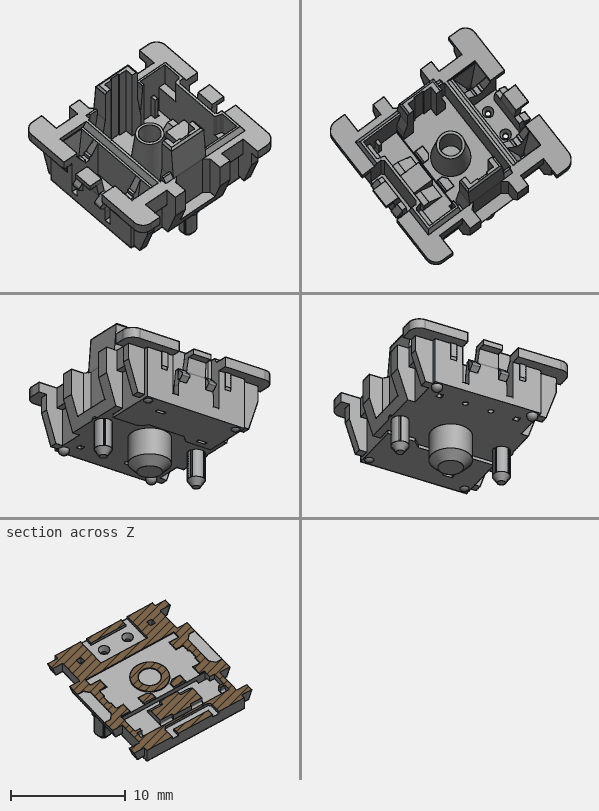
import cadquery as cq


GUIDE_TOP = 3.6
RIM_TOP = 0.5
PLATE_BOTTOM = -0.97
SHELF_Z = -1.97
TAPER_START = -2.5
SLOT_FLOOR = -4.68
BODY_BOTTOM = -5.48
SLAB_BOTTOM = -5.8
PIN_TIP = -8.8
FRONT_FLOOR = -4.5
REAR_FLOOR = -4.99
CHANNEL_FLOOR = -2.5
ABOVE = GUIDE_TOP + 0.78
BELOW = PIN_TIP - 0.78

PLATE_HALF = 7.8
CORNER_R = 1.05
NOTCH_X = 5.88
CORNER_RIB_Y = 5.7
CORNER_RIB_END_Y = 6.46
MID_RIB_Y = 3.2
RECESS_Y = 2.01
RECESS_WALL_Y = 1.51
RECESS_BEVEL = 0.44
CORE_X = 5.25
CORE_Y = 6.85
RIB_X = 6.99
RIB_FOOT_X = 5.99
RECESS_FLOOR = -4.45
SLAB_FRONT_Y = 1.8
SLAB_RELIEF_X = 2.57
SLAB_RELIEF_DEPTH = 0.7

CAVITY_X = 4.75
CAVITY_FRONT_Y = -2.96
CAVITY_REAR_Y = 5.96
BACK_WALL_Y = 5.25
RIM_FRONT_Y = -2.78
RIM_REAR_Y = 6.46
RIM_SLOPE_X = 0.33
RIM_SLOPE_Y = 0.27

SLOT_X = 2.5
REAR_SLOT_Y = 5.52
SLOT_BEVEL = 0.22

POCKET_REAR_Y = -3.21
BAR_SLOPE = 0.37
POCKET_FRONT_Y = -6.25
POCKET_WALL_Y = -3.8
POCKET_SHELF_Z = -0.5
VEE_Z = -1.62
VEE_HALF = 0.48
FUNNEL_INNER_X = 3.09
FUNNEL_OUTER_X = 4.66
FUNNEL_Z = -4.37
WIRE_GROOVE_Z = -2.0
WIRE_HOLE = 0.5
WIRE_Y = -5.05
WIRE_X = 3.8
LED_X = 1.26
LED_HOLE_D = 0.5
LED_SINK_D = 1.0
LED_SINK_DEPTH = 0.5

GUIDE_X = 3.73
GUIDE_TOP_X = 4.99
GUIDE_Y = 1.89
GUIDE_FOOT_Y = 2.28
GUIDE_CHAMFER = 0.2
GUIDE_BACK_X = 4.51
GUIDE_GAP_Y = 1.25
KEYWAY_X = 4.63
KEYWAY_Y = 0.48

BOSS_D = 3.8
BOSS_CHAMFER = 0.78
POST_FOOT_D = 3.51
POST_TOP_D = 2.5
BORE_D = 2.0
PIN_X = 5.02
PIN_D = 1.59
PIN_TIP_D = 0.7
PIN_CONE = 0.67
BUMP_R = 0.5
FOOT_X = 4.73
FOOT_Y = 6.24
FOOT_Z = -5.52
ROOT_BUMP_X = 5.62

CHANNEL_Y = 2.9
CHANNEL_FOOT_Y = 2.7
RETURN_Y = 3.09
RETURN_X = 4.23
SLIT_W = 0.35
FLOOR_STEP_Y = CHANNEL_FOOT_Y - SLIT_W
REAR_SLIT_Y = BACK_WALL_Y - SLIT_W
SLIT_L = 0.9
REAR_SLIT_X = 2.06
FOOT_FILLET = 0.2


def box(x0, x1, y0, y1, z0, z1):
    return cq.Workplane("XY").box(x1 - x0, y1 - y0, z1 - z0, centered=False).translate((x0, y0, z0))


def along_x(points, x0, x1):
    """Prism of a (y, z) outline between two X positions."""
    return cq.Workplane("YZ").polyline(points).close().extrude(x1 - x0).translate((x0, 0, 0))


def along_y(points, y0, y1):
    """Prism of an (x, z) outline between two Y positions."""
    return cq.Workplane("XZ").polyline(points).close().extrude(y0 - y1).translate((0, y0, 0))


def along_z(points, z0, z1):
    """Prism of an (x, y) outline between two heights."""
    return cq.Workplane("XY", origin=(0, 0, z0)).polyline(points).close().extrude(z1 - z0)


def both_x(shape):
    return shape.union(shape.mirror("YZ"))


def both_y(shape):
    return shape.union(shape.mirror("XZ"))


def turned(profile, x=0, y=0):
    """Solid turned from (radius, z) points about a vertical axis."""
    return cq.Workplane("XZ").polyline(profile).close().revolve(360, (0, 0), (0, 1)).translate((x, y, 0))


def tapered_ribs(y0, y1):
    outline = [
        (0, 0), (RIB_X, 0), (RIB_X, TAPER_START),
        (RIB_FOOT_X, BODY_BOTTOM), (0, BODY_BOTTOM),
    ]
    return both_x(along_y(outline, y0, y1))


def outer_body():
    plate = box(-PLATE_HALF, PLATE_HALF, -PLATE_HALF, PLATE_HALF, PLATE_BOTTOM, 0)
    plate = plate.edges("|Z").fillet(CORNER_R)
    waist = box(CORE_X, PLATE_HALF + 0.15, -CORNER_RIB_Y, CORNER_RIB_Y, PLATE_BOTTOM, 0)
    plate = plate.cut(both_x(waist))
    body = plate.union(box(-CORE_X, CORE_X, -CORE_Y, CORE_Y, BODY_BOTTOM, 0))
    body = body.union(both_y(box(-NOTCH_X, NOTCH_X, MID_RIB_Y, CORNER_RIB_Y, SHELF_Z, 0)))
    body = body.union(both_y(tapered_ribs(CORNER_RIB_Y, CORNER_RIB_END_Y)))
    body = body.union(tapered_ribs(-MID_RIB_Y, MID_RIB_Y))
    recess = [
        (CORE_X, -RECESS_WALL_Y), (CORE_X + RECESS_BEVEL, -RECESS_Y), (RIB_X + 0.15, -RECESS_Y),
        (RIB_X + 0.15, RECESS_Y), (CORE_X + RECESS_BEVEL, RECESS_Y), (CORE_X, RECESS_WALL_Y),
    ]
    body = body.cut(both_x(along_z(recess, RECESS_FLOOR, 0.15)))
    relief_x = SLAB_RELIEF_X - SLAB_RELIEF_DEPTH
    relief_y = SLAB_FRONT_Y + SLAB_RELIEF_DEPTH
    slab = [
        (-CORE_X, SLAB_FRONT_Y), (-SLAB_RELIEF_X, SLAB_FRONT_Y), (-relief_x, relief_y),
        (relief_x, relief_y), (SLAB_RELIEF_X, SLAB_FRONT_Y), (CORE_X, SLAB_FRONT_Y),
        (CORE_X, CORE_Y), (-CORE_X, CORE_Y),
    ]
    return body.union(along_z(slab, SLAB_BOTTOM, BODY_BOTTOM))


def rim():
    """Raised rim with its outer sides and rear leaning inward."""
    top_x = CORE_X - RIM_SLOPE_X
    across = [(-CORE_X, 0), (CORE_X, 0), (top_x, RIM_TOP), (-top_x, RIM_TOP)]
    lengthwise = [
        (RIM_FRONT_Y, 0), (RIM_REAR_Y, 0), (RIM_REAR_Y - RIM_SLOPE_Y, RIM_TOP), (RIM_FRONT_Y, RIM_TOP),
    ]
    return along_y(across, RIM_FRONT_Y, RIM_REAR_Y).intersect(along_x(lengthwise, -CORE_X, CORE_X))


def cavity():
    front = box(-CAVITY_X, CAVITY_X, CAVITY_FRONT_Y, FLOOR_STEP_Y, FRONT_FLOOR, ABOVE)
    rear = box(-CAVITY_X, CAVITY_X, FLOOR_STEP_Y, BACK_WALL_Y, REAR_FLOOR, ABOVE)
    bulge_tip, bulge_round, bulge_side = (2.51, BACK_WALL_Y), (2.6, 5.29), (2.65, 5.38)
    root_side, root_round, root_end = (2.78, 5.85), (2.82, 5.93), (2.92, CAVITY_REAR_Y)
    corner = (
        cq.Workplane("XY", origin=(0, 0, SHELF_Z))
        .moveTo(CAVITY_X, BACK_WALL_Y)
        .lineTo(*bulge_tip)
        .threePointArc(bulge_round, bulge_side)
        .lineTo(*root_side)
        .threePointArc(root_round, root_end)
        .lineTo(CAVITY_X, CAVITY_REAR_Y)
        .close()
        .extrude(ABOVE - SHELF_Z)
    )
    return front.union(rear).union(both_x(corner))


def snap_slots():
    far = PLATE_HALF + 0.15
    rear = [
        (-SLOT_X, far), (-SLOT_X, REAR_SLOT_Y + SLOT_BEVEL), (-SLOT_X + SLOT_BEVEL, REAR_SLOT_Y),
        (SLOT_X - SLOT_BEVEL, REAR_SLOT_Y), (SLOT_X, REAR_SLOT_Y + SLOT_BEVEL), (SLOT_X, far),
    ]
    front = box(-SLOT_X, SLOT_X, -far, POCKET_WALL_Y, SLOT_FLOOR, 0.15)
    return along_z(rear, SLOT_FLOOR, ABOVE).union(front)


def snap_tongue():
    """Springy tongue with a top tab in the middle and a latch bump on each side."""
    tab_x, tab_foot_x = 0.94, 1.01
    tongue_x, tongue_foot_x = 1.73, 1.87
    bump_inner_x, bump_outer_x = 1.03, 1.83
    tab_top, tab_bottom = -0.25, -0.76
    tab_root_z, tongue_top, spread_z = -2.17, -1.97, -3.59
    back_top_y, back_mid_y, back_foot_y, tab_root_y = 6.46, 6.21, 6.15, 7.04
    side = [
        (PLATE_HALF, tab_top), (back_top_y, tab_top), (back_mid_y, tongue_top), (back_foot_y, SLOT_FLOOR),
        (CORE_Y, SLOT_FLOOR), (CORE_Y, tab_root_z), (tab_root_y, tab_bottom), (PLATE_HALF, tab_bottom),
    ]
    half_face = [
        (0, tab_top), (tab_x, tab_top), (tab_x, tab_bottom), (tab_foot_x, tongue_top),
        (tongue_x, tongue_top), (tongue_foot_x, spread_z), (tongue_foot_x, SLOT_FLOOR), (0, SLOT_FLOOR),
    ]
    face = both_x(along_y(half_face, 0, PLATE_HALF))
    tongue = along_x(side, -SLOT_X, SLOT_X).intersect(face)
    slope_y, bump_shoulder_y, bump_reach_y = 6.66, 7.3, 7.36
    upper_z, lower_z, bump_foot_z = -2.62, -2.87, -3.26
    above_slope = [
        (slope_y, tongue_top), (bump_shoulder_y, upper_z), (PLATE_HALF, upper_z),
        (PLATE_HALF, 0), (slope_y, 0),
    ]
    tongue = tongue.cut(both_x(along_x(above_slope, tab_foot_x, SLOT_X)))
    bump = (
        cq.Workplane("YZ", origin=(bump_inner_x, 0, 0))
        .moveTo(slope_y, tongue_top)
        .lineTo(bump_shoulder_y, upper_z)
        .threePointArc((bump_reach_y, (upper_z + lower_z) / 2), (bump_shoulder_y, lower_z))
        .lineTo(CORE_Y, bump_foot_z)
        .lineTo(slope_y, bump_foot_z)
        .close()
        .extrude(bump_outer_x - bump_inner_x)
    )
    return tongue.union(both_x(bump))


def wall_ribs():
    """Two low ribs on the end wall, bevelled at their lower ends."""
    face_y = CORE_Y
    inner_x, outer_x = 3.12, 3.73
    lower_end, bevel, proud = -2.62, 0.27, 0.11
    outline = [
        (face_y - 0.15, PLATE_BOTTOM), (face_y + proud, PLATE_BOTTOM),
        (face_y + proud, lower_end + bevel), (face_y, lower_end), (face_y - 0.15, lower_end),
    ]
    return both_x(along_x(outline, inner_x, outer_x))


def front_pocket():
    """Pocket with two funnels for wires, two lamp holes and a V-shaped dip beside each funnel."""
    slope_y = POCKET_REAR_Y - BAR_SLOPE
    opening = [
        (POCKET_REAR_Y, 0.15), (POCKET_REAR_Y, 0), (slope_y, POCKET_SHELF_Z),
        (POCKET_FRONT_Y, POCKET_SHELF_Z), (POCKET_FRONT_Y, 0.15),
    ]
    pocket = along_x(opening, -CAVITY_X, CAVITY_X)
    vee = [
        (POCKET_WALL_Y, POCKET_SHELF_Z), (WIRE_Y + VEE_HALF, VEE_Z),
        (WIRE_Y - VEE_HALF, VEE_Z), (POCKET_FRONT_Y, POCKET_SHELF_Z),
    ]
    half = WIRE_HOLE / 2
    dip = along_x(vee, SLOT_X - 0.15, WIRE_X - half)
    dip = dip.union(box(SLOT_X - 0.15, WIRE_X, WIRE_Y - half, WIRE_Y + half, WIRE_GROOVE_Z, VEE_Z))
    mid_x = (FUNNEL_INNER_X + FUNNEL_OUTER_X) / 2
    mid_y = (POCKET_WALL_Y + POCKET_FRONT_Y) / 2
    funnel = (
        cq.Workplane("XY", origin=(mid_x, mid_y, POCKET_SHELF_Z))
        .rect(FUNNEL_OUTER_X - FUNNEL_INNER_X, POCKET_WALL_Y - POCKET_FRONT_Y)
        .workplane(offset=FUNNEL_Z - POCKET_SHELF_Z)
        .center(WIRE_X - mid_x, WIRE_Y - mid_y)
        .rect(WIRE_HOLE, WIRE_HOLE)
        .loft(ruled=True)
    )
    wire_hole = box(WIRE_X - half, WIRE_X + half, WIRE_Y - half, WIRE_Y + half, BELOW, FUNNEL_Z)
    sink_r, hole_r = LED_SINK_D / 2, LED_HOLE_D / 2
    sink_bottom = SLOT_FLOOR - LED_SINK_DEPTH
    led_profile = [
        (0, SLOT_FLOOR), (sink_r, SLOT_FLOOR), (hole_r, sink_bottom), (hole_r, BELOW), (0, BELOW),
    ]
    led_hole = turned(led_profile, LED_X, WIRE_Y)
    return pocket.union(both_x(dip.union(funnel).union(wire_hole).union(led_hole)))


def contact_channel():
    """Gap through the left rim and wall, narrowing toward its floor."""
    outline = [
        (CHANNEL_Y, ABOVE), (CHANNEL_Y, 0), (CHANNEL_FOOT_Y, CHANNEL_FLOOR),
        (GUIDE_Y, CHANNEL_FLOOR), (GUIDE_Y, ABOVE),
    ]
    return along_x(outline, -CORE_X, -CAVITY_X)


def channel_return():
    """Short wall turning inward from the rim, with the ledge that carries the contact."""
    outline = [
        (RETURN_Y, RIM_TOP), (CHANNEL_Y, RIM_TOP), (CHANNEL_Y, 0), (CHANNEL_FOOT_Y, CHANNEL_FLOOR),
        (GUIDE_Y, CHANNEL_FLOOR), (GUIDE_Y, REAR_FLOOR), (RETURN_Y, REAR_FLOOR),
    ]
    return along_x(outline, -CAVITY_X, -RETURN_X)


def contact_slits():
    """Two slits through the rear floor for the contact legs."""
    left = box(-RETURN_X, -RETURN_X + SLIT_L, FLOOR_STEP_Y, CHANNEL_FOOT_Y, BELOW, REAR_FLOOR)
    return left.union(box(REAR_SLIT_X, REAR_SLIT_X + SLIT_L, REAR_SLIT_Y, BACK_WALL_Y, BELOW, REAR_FLOOR))


def guide():
    """C-shaped upright with flared foot, open toward the middle."""
    shoulder = GUIDE_TOP - GUIDE_CHAMFER
    foot = FRONT_FLOOR - 0.15
    across = [
        (GUIDE_X, foot), (CORE_X, foot), (CORE_X, 0), (GUIDE_TOP_X, shoulder),
        (GUIDE_TOP_X - GUIDE_CHAMFER, GUIDE_TOP), (GUIDE_X, GUIDE_TOP),
    ]
    top_y = GUIDE_Y - GUIDE_CHAMFER
    lengthwise = [
        (-GUIDE_FOOT_Y, foot), (GUIDE_FOOT_Y, foot), (GUIDE_FOOT_Y, CHANNEL_FLOOR),
        (GUIDE_Y, 0), (GUIDE_Y, shoulder),
        (top_y, GUIDE_TOP), (-top_y, GUIDE_TOP), (-GUIDE_Y, shoulder), (-GUIDE_Y, 0),
        (-GUIDE_FOOT_Y, CHANNEL_FLOOR),
    ]
    block = along_y(across, -GUIDE_FOOT_Y, GUIDE_FOOT_Y).intersect(along_x(lengthwise, GUIDE_X, CORE_X))
    block = block.cut(box(0, GUIDE_BACK_X, -GUIDE_GAP_Y, GUIDE_GAP_Y, FRONT_FLOOR, ABOVE))
    return block.cut(box(0, KEYWAY_X, -KEYWAY_Y, KEYWAY_Y, FRONT_FLOOR, ABOVE))


def block_with_rounded_foot(front_y, crest_y, rear_y, top_z, x0, x1):
    """Block on the rear floor: its front rises to the crest, its rear wall flows into the floor."""
    return (
        cq.Workplane("YZ", origin=(x0, 0, 0))
        .moveTo(front_y, REAR_FLOOR)
        .lineTo(crest_y, top_z)
        .lineTo(rear_y, top_z)
        .lineTo(rear_y, REAR_FLOOR + FOOT_FILLET)
        .tangentArcPoint((rear_y + FOOT_FILLET, REAR_FLOOR), relative=False)
        .close()
        .extrude(x1 - x0)
    )


def floor_blocks():
    """Contact support on the rear floor, two side tabs, and two pads beside the post."""
    block_x, block_front_y, block_rear_y, block_top = 0.98, 2.78, 4.88, -2.75
    wedge_x, wedge_crest_y, wall_y, wedge_top = 2.26, 4.1, 4.68, -3.59
    tab_front_y, tab_top = 4.37, -2.57
    blocks = box(-block_x, block_x, block_front_y, block_rear_y, REAR_FLOOR, block_top)
    blocks = blocks.union(
        block_with_rounded_foot(CHANNEL_FOOT_Y, wedge_crest_y, wall_y, wedge_top, -wedge_x, wedge_x)
    )
    tab = block_with_rounded_foot(tab_front_y, tab_front_y, wall_y, tab_top, RETURN_X, CAVITY_X)
    pad_height, pad_front_y, pad_setback = 0.15, 1.37, 0.06
    pad_rear_y = FLOOR_STEP_Y - pad_setback
    pad_top = FRONT_FLOOR + pad_height
    pad_side = [
        (0, FRONT_FLOOR), (pad_rear_y, FRONT_FLOOR), (pad_rear_y - pad_height, pad_top), (0, pad_top),
    ]
    bevel_x, bevel_y = 0.42, 0.31
    pad_plan = [
        (block_x, pad_rear_y), (block_x, pad_front_y + bevel_y), (block_x + bevel_x, pad_front_y),
        (wedge_x, pad_front_y), (wedge_x, pad_rear_y),
    ]
    pad = along_x(pad_side, block_x, wedge_x).intersect(along_z(pad_plan, FRONT_FLOOR, pad_top))
    return blocks.union(both_x(tab.union(pad)))


def centre_post():
    post = turned([(0, FRONT_FLOOR), (POST_FOOT_D / 2, FRONT_FLOOR), (POST_TOP_D / 2, 0), (0, 0)])
    return post.cut(cq.Workplane("XY").circle(BORE_D / 2).extrude(FRONT_FLOOR))


def centre_boss():
    r = BOSS_D / 2
    return turned([
        (0, BODY_BOTTOM), (r, BODY_BOTTOM), (r, PIN_TIP + BOSS_CHAMFER),
        (r - BOSS_CHAMFER, PIN_TIP), (0, PIN_TIP),
    ])


def locating_pin():
    r = PIN_D / 2
    cone_top = PIN_TIP + PIN_CONE
    profile = [(0, BODY_BOTTOM), (r, BODY_BOTTOM), (r, cone_top), (PIN_TIP_D / 2, PIN_TIP), (0, PIN_TIP)]
    pin = turned(profile, PIN_X)
    groove_stop = 0.08
    groove_end = cone_top + groove_stop
    groove_inner, groove_outer, groove_bed = 0.31, 0.45, 0.62
    rib_root, rib_half = 0.7, 0.22
    flank = box(groove_inner, groove_outer, groove_bed, r, groove_end, BODY_BOTTOM)
    beside_rib = box(-r, -rib_root, rib_half, r, groove_end, BODY_BOTTOM)
    pin = pin.cut(both_y(flank.union(beside_rib)).translate((PIN_X, 0, 0)))
    root = cq.Workplane("XY").sphere(BUMP_R).translate((ROOT_BUMP_X, 0, BODY_BOTTOM))
    return pin.union(root.intersect(box(0, PLATE_HALF, -BUMP_R, BUMP_R, BODY_BOTTOM, 0)))


def foot_bumps():
    return both_x(both_y(cq.Workplane("XY").sphere(BUMP_R).translate((FOOT_X, FOOT_Y, FOOT_Z))))


result = outer_body().union(both_x(locating_pin())).union(foot_bumps()).union(centre_boss()).union(rim())
result = result.cut(cavity()).cut(snap_slots()).cut(front_pocket()).cut(contact_channel())
result = result.union(both_x(guide())).union(channel_return()).union(centre_post()).union(floor_blocks())
result = result.cut(contact_slits())
result = result.union(both_y(snap_tongue())).union(both_y(wall_ribs()))